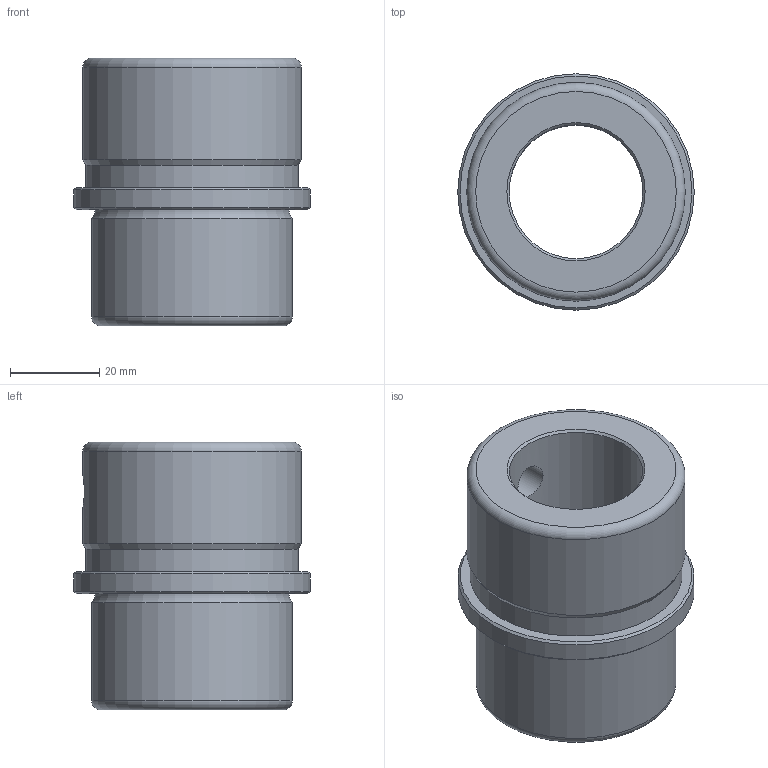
import cadquery as cq
import math

total_height = 60.0
flange_bottom_z = 26.0
flange_height = 5.0
flange_top_z = flange_bottom_z + flange_height
relief_height = 2.0
relief_bottom_z = flange_bottom_z - relief_height
groove_height = 5.0
groove_top_z = flange_top_z + groove_height
head_taper_height = 1.25
head_bottom_z = groove_top_z + head_taper_height

bore_radius = 15.0
head_radius = 49.0 / 2
groove_radius = 47.6 / 2
flange_radius = 53.0 / 2
spigot_radius = 45.0 / 2

relief_arc_radius = 3.0
relief_depth = relief_arc_radius - math.sqrt(relief_arc_radius**2 - relief_height**2)
relief_upper_radius = spigot_radius - relief_depth

end_fillet = 2.0
flange_chamfer = 0.5
bore_chamfer = 0.5

cross_hole_diameter = 8.0
cross_hole_z = 49.0


def turned_body():
    """Revolve the outer profile of the bushing about Z."""
    profile = (
        cq.Workplane("XZ")
        .lineTo(spigot_radius, 0)
        .lineTo(spigot_radius, relief_bottom_z)
        .radiusArc((relief_upper_radius, flange_bottom_z), relief_arc_radius)
        .lineTo(flange_radius - flange_chamfer, flange_bottom_z)
        .lineTo(flange_radius, flange_bottom_z + flange_chamfer)
        .lineTo(flange_radius, flange_top_z - flange_chamfer)
        .lineTo(flange_radius - flange_chamfer, flange_top_z)
        .lineTo(groove_radius, flange_top_z)
        .lineTo(groove_radius, groove_top_z)
        .lineTo(head_radius, head_bottom_z)
        .lineTo(head_radius, total_height)
        .lineTo(0, total_height)
        .close()
    )
    body = profile.revolve(360, (0, 0, 0), (0, 1, 0))
    return body.faces("<Z or >Z").edges().fillet(end_fillet)


def bore():
    """Through bore with a chamfered mouth at each end."""
    mouth_radius = bore_radius + bore_chamfer
    profile = (
        cq.Workplane("XZ")
        .lineTo(mouth_radius, 0)
        .lineTo(bore_radius, bore_chamfer)
        .lineTo(bore_radius, total_height - bore_chamfer)
        .lineTo(mouth_radius, total_height)
        .lineTo(0, total_height)
        .close()
    )
    return profile.revolve(360, (0, 0, 0), (0, 1, 0))


def cross_hole():
    """Cylinder running from the axis outwards along +Y."""
    return (
        cq.Workplane("XZ")
        .center(0, cross_hole_z)
        .circle(cross_hole_diameter / 2)
        .extrude(-flange_radius)
    )


result = turned_body().cut(bore()).cut(cross_hole())